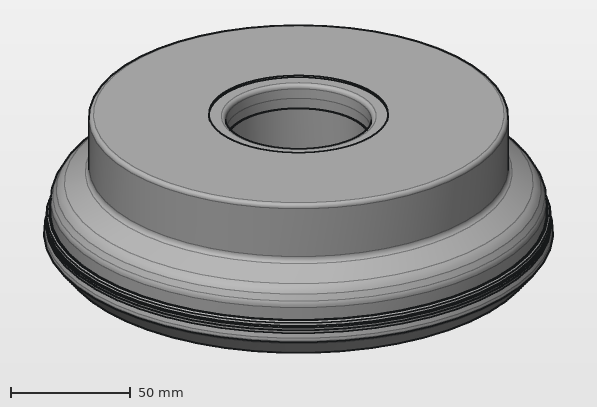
import cadquery as cq
import math


total_height = 63.0
outer_radius = 106.3

cavity_radius = 80.8
cavity_top_z = 31.9

parting_z = 17.2

hub_radius = 87.5
hub_top_fillet = 2.0
hub_foot_top_z = 39.0

shoulder_radius = 103.5
foot_end_radius = 89.0
foot_end_z = 36.3
slope_end_radius = 97.8
slope_end_z = 31.2
bevel_top_radius = 101.2
bevel_top_z = 28.0
bevel_end_radius = 102.7
bevel_end_z = 25.5
skirt_top_z = 23.0

recess_radius = 37.5
recess_depth = 0.9
recess_floor_z = total_height - recess_depth
mouth_fillet = 2.0
taper_top_radius = 30.5
taper_end_radius = 30.2
taper_end_z = 56.0
bore_radius = 29.8
bore_step_z = 51.2

ledge_radius = 104.1
lip_radius = 105.0
lip_z = 16.4
band_radius = 105.5
band_top_z = 15.3
groove_depth = 0.2
groove_top_z = 14.5
groove_end_z = 13.2
band_end_z = 12.0
flare_drop = 2.0
flare_radius = 106.0
crown_top_z = 8.7
crown_end_z = 8.0
crown_break_width = 0.5
crown_break_height = 0.6
bottom_radius = 99.7
bottom_break_width = 0.5
bottom_break_height = 0.6


def bulge_radius(start, end, tangent):
    """Radius of the arc from start to end that leaves start along tangent."""
    chord_x = end[0] - start[0]
    chord_z = end[1] - start[1]
    chord = math.hypot(chord_x, chord_z)
    cross = tangent[0] * chord_z - tangent[1] * chord_x
    sine = abs(cross) / (chord * math.hypot(*tangent))
    return chord / (2 * sine)


def turn(profile):
    """Close a (radius, height) profile and revolve it about Z."""
    return profile.close().revolve(360, (0, 0, 0), (0, 1, 0))


def make_body():
    foot_start = (hub_radius, hub_foot_top_z)
    foot_end = (foot_end_radius, foot_end_z)
    slope_end = (slope_end_radius, slope_end_z)
    bevel_top = (bevel_top_radius, bevel_top_z)
    bevel_end = (bevel_end_radius, bevel_end_z)
    skirt_top = (shoulder_radius, skirt_top_z)
    straight_down = (0, -1)
    slope = (slope_end_radius - foot_end_radius, slope_end_z - foot_end_z)

    profile = (
        cq.Workplane("XZ")
        .moveTo(bore_radius, cavity_top_z)
        .lineTo(bore_radius, bore_step_z)
        .lineTo(taper_end_radius, bore_step_z)
        .lineTo(taper_end_radius, taper_end_z)
        .lineTo(taper_top_radius, recess_floor_z - mouth_fillet)
        .radiusArc((taper_top_radius + mouth_fillet, recess_floor_z), mouth_fillet)
        .lineTo(recess_radius, recess_floor_z)
        .lineTo(recess_radius, total_height)
        .lineTo(hub_radius - hub_top_fillet, total_height)
        .radiusArc((hub_radius, total_height - hub_top_fillet), hub_top_fillet)
        .lineTo(*foot_start)
        .radiusArc(foot_end, -bulge_radius(foot_start, foot_end, straight_down))
        .lineTo(*slope_end)
        .radiusArc(bevel_top, bulge_radius(slope_end, bevel_top, slope))
        .lineTo(*bevel_end)
        .radiusArc(skirt_top, bulge_radius(skirt_top, bevel_end, straight_down))
        .lineTo(shoulder_radius, parting_z)
        .lineTo(cavity_radius, parting_z)
        .lineTo(cavity_radius, cavity_top_z)
    )
    return turn(profile)


def make_ring():
    groove_radius = band_radius - groove_depth
    profile = (
        cq.Workplane("XZ")
        .moveTo(cavity_radius, 0)
        .lineTo(cavity_radius, parting_z)
        .lineTo(ledge_radius, parting_z)
        .lineTo(lip_radius, lip_z)
        .lineTo(band_radius, band_top_z)
        .lineTo(band_radius, groove_top_z)
        .lineTo(groove_radius, groove_top_z)
        .lineTo(groove_radius, groove_end_z)
        .lineTo(band_radius, groove_end_z)
        .lineTo(band_radius, band_end_z)
        .lineTo(flare_radius, band_end_z - flare_drop)
        .lineTo(outer_radius, crown_top_z)
        .lineTo(outer_radius, crown_end_z)
        .lineTo(outer_radius - crown_break_width, crown_end_z - crown_break_height)
        .lineTo(bottom_radius + bottom_break_width, bottom_break_height)
        .lineTo(bottom_radius, 0)
    )
    return turn(profile)


body = make_body()
ring = make_ring()

result = cq.Compound.makeCompound([body.val(), ring.val()])